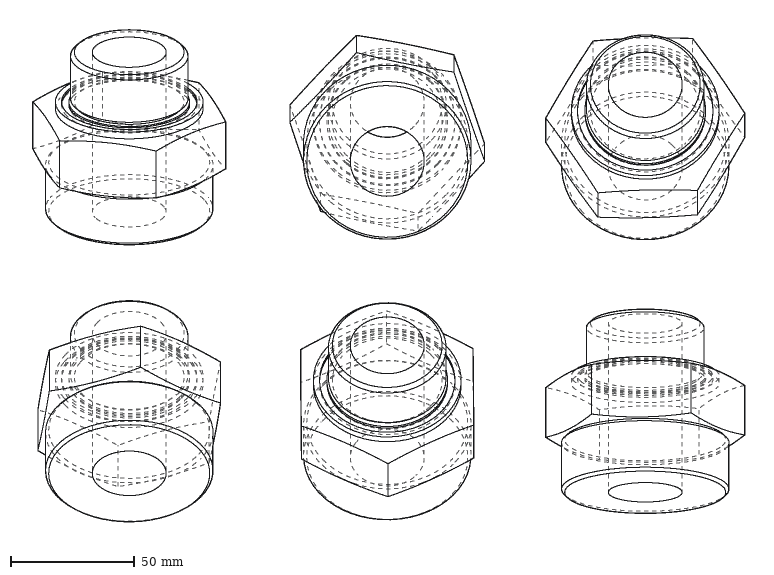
import cadquery as cq
import math

hex_across_corners = 80.8
hex_across_flats = hex_across_corners * math.cos(math.pi / 6)
total_height = 71.0
bore_diameter = 30.0

base_diameter = 68.0
base_height = 22.15
base_chamfer = 1.3

hex_height = 23.8
hex_chamfer_angle = math.radians(15)

flange_diameter = 60.0
flange_height = 3.0

boss_diameter = 47.8
boss_chamfer = 1.6

groove_outer_diameter = 55.0
groove_inner_diameter = 49.0

hex_top = base_height + hex_height
flange_top = hex_top + flange_height
boss_height = total_height - flange_top
seal_radius = (groove_outer_diameter - groove_inner_diameter) / 4
seal_center_radius = (groove_outer_diameter + groove_inner_diameter) / 4


def chamfered_cylinder(diameter, height, chamfer, bottom):
    """Upright cylinder with both rims chamfered."""
    cylinder = cq.Workplane("XY").workplane(offset=bottom).circle(diameter / 2).extrude(height)
    return cylinder.faces("<Z or >Z").chamfer(chamfer)


def hexagon():
    """Hexagon with corners on the Y axis, turned to a cone at its top and bottom."""
    corner_radius = hex_across_corners / 2
    flat_radius = hex_across_flats / 2
    corner_drop = (corner_radius - flat_radius) * math.tan(hex_chamfer_angle)
    prism = (
        cq.Workplane("XY")
        .workplane(offset=base_height)
        .polygon(6, hex_across_corners)
        .extrude(hex_height)
        .rotate((0, 0, 0), (0, 0, 1), 90)
    )
    turned_envelope = (
        cq.Workplane("XZ")
        .moveTo(0, base_height)
        .lineTo(flat_radius, base_height)
        .lineTo(corner_radius, base_height + corner_drop)
        .lineTo(corner_radius, hex_top - corner_drop)
        .lineTo(flat_radius, hex_top)
        .lineTo(0, hex_top)
        .close()
        .revolve(360, (0, 0), (0, 1))
    )
    return prism.intersect(turned_envelope)


def flange_with_seal():
    """Round flange with the upper half of the seal ring showing in its groove."""
    groove_inner_radius = groove_inner_diameter / 2
    groove_outer_radius = groove_outer_diameter / 2
    seal_center_height = flange_top - seal_radius
    return (
        cq.Workplane("XZ")
        .moveTo(0, hex_top)
        .lineTo(flange_diameter / 2, hex_top)
        .lineTo(flange_diameter / 2, flange_top)
        .lineTo(groove_outer_radius, flange_top)
        .lineTo(groove_outer_radius, seal_center_height)
        .threePointArc((seal_center_radius, flange_top), (groove_inner_radius, seal_center_height))
        .lineTo(groove_inner_radius, flange_top)
        .lineTo(0, flange_top)
        .close()
        .revolve(360, (0, 0), (0, 1))
    )


base = chamfered_cylinder(base_diameter, base_height, base_chamfer, 0)
boss = chamfered_cylinder(boss_diameter, boss_height, boss_chamfer, flange_top)
bore = cq.Workplane("XY").circle(bore_diameter / 2).extrude(total_height)

result = base.union(hexagon()).union(flange_with_seal()).union(boss).cut(bore)